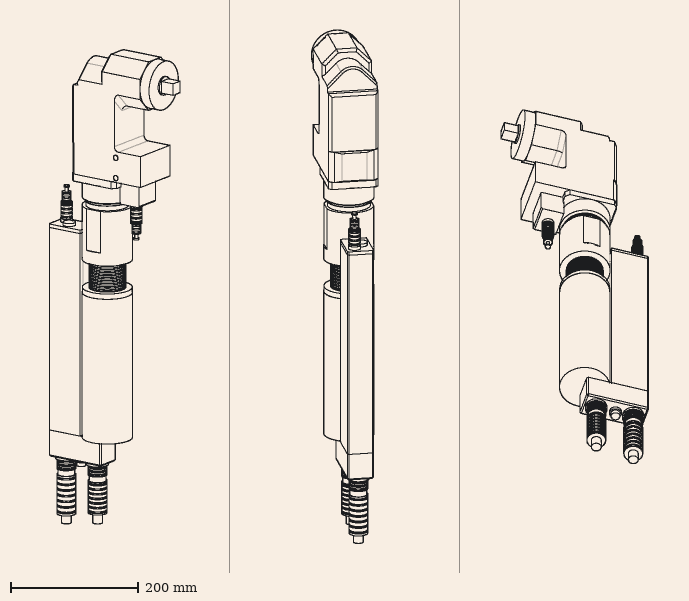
import cadquery as cq
import math


HEAD_WIDTH = 80.0
HALF_WIDTH = HEAD_WIDTH / 2
TOTAL_HEIGHT = 788.0
ARM_AXIS_Z = TOTAL_HEIGHT - HALF_WIDTH
ARM_BACK_X = 14.0
ARM_END_X = 92.0
FLANGE_DIAMETER = 79.0
FLANGE_LENGTH = 17.0
BOSS_DIAMETER = 30.0
BOSS_LENGTH = 2.0
DRIVE_SQUARE = 19.0
DRIVE_LENGTH = 23.0
EDGE_CHAMFER = 5.0

COLUMN_BACK_X = -42.0
COLUMN_FRONT_X = 42.5
SHOULDER_Z = 735.0
CROWN_BACK_X = -29.0
CROWN_RADIUS = 25.0
CROWN_EDGE = 3.0
ARM_FILLET = 8.0

FOOT_FRONT_X = 93.0
FOOT_TOP_Z = 638.5
FOOT_BOTTOM_Z = 588.0
SCREW_X = 45.0
SCREW_DIAMETER = 9.0
SCREW_DEPTH = 1.0
SCREW_HEIGHTS = (595.0, 628.0)

COVER_BACK_X = -46.0
COVER_KNEE_X = -43.0
COVER_SIDE_X = -35.5
COVER_FLAT_WIDTH = 40.0
COVER_KNEE_WIDTH = 63.0
COVER_EDGE = 2.0

BAND_FRONT_X = 42.5
BAND_FRONT_CHAMFER = 6.0
COLLAR_TOP_Z = 576.0
COLLAR_BOTTOM_Z = 548.0
BLOCK_BACK_X = 41.0
BLOCK_FRONT_X = 78.0
BLOCK_WIDTH = 44.0
BLOCK_EDGE = 2.0

TOOL_DIAMETER = 80.0
SWIVEL_DIAMETER = 68.0
SWIVEL_RING_DIAMETER = 71.0
SWIVEL_RING_Z = 542.0
SWIVEL_RING_HEIGHT = 3.0
SLEEVE_TOP_Z = 534.5
SLEEVE_BOTTOM_Z = 445.0
FLAT_DISTANCE = 75.0
FLAT_BOTTOM_Z = 467.0
NECK_DIAMETER = 58.0
NECK_GROOVE_DEPTH = 1.0
NECK_GROOVE_WIDTH = 2.0
NECK_GROOVES = 9
MOTOR_TOP_Z = 400.0
MOTOR_RIM_DIAMETER = 79.0
MOTOR_RIM_Z = 391.0
MOTOR_BOTTOM_Z = 154.0

BOX_BACK_X = -99.0
BOX_FRONT_X = -38.0
BOX_WIDTH = 42.0
BOX_TOP_Z = 485.5
LID_TOP_Z = 491.0
BOX_EDGE = 2.0
BASE_FRONT_X = 2.0
BASE_BOTTOM_Z = 110.0
CAP_X = -69.0
CAP_Y = -6.0
CAP_DIAMETER = 20.0
CAP_HEIGHT = 5.0
STUD_X = -50.5
STUD_DIAMETER = 14.0
STUD_FLANGE_DIAMETER = 19.0
STUD_FLANGE_HEIGHT = 5.0
STUD_LENGTH = 12.0

POWER_CONNECTORS = ((-80.0, 15.0, 0.0), (-19.0, 27.0, 10.0))
POWER_FLANGE_DIAMETER = 34.0
POWER_FLANGE_HEIGHT = 5.0
POWER_DIAMETER = 30.0
POWER_NUT_LENGTH = 16.5
POWER_NUT_GROOVES = 3
POWER_WAIST_DIAMETER = 27.0
POWER_WAIST_LENGTH = 9.5
POWER_CABLE_DIAMETER = 16.0
POWER_GROOVES = 7
POWER_GROOVE_DEPTH = 1.5
POWER_GROOVE_WIDTH = 2.0

SIGNAL_X = -84.0
SIGNAL_Y = 7.0
SIGNAL_FLANGE_DIAMETER = 19.0
SIGNAL_FLANGE_HEIGHT = 5.5
SIGNAL_DIAMETER = 18.0
SIGNAL_GRIP_LENGTH = 32.0
SIGNAL_GROOVES = 4
SIGNAL_GROOVE_DEPTH = 1.5
SIGNAL_GROOVE_WIDTH = 2.0
SIGNAL_TAIL_DIAMETER = 14.0
SIGNAL_TAIL_END = 49.0
SIGNAL_TAIL_GROOVES = 3
SIGNAL_TAIL_GROOVE_DEPTH = 1.0
SIGNAL_CABLE_DIAMETER = 5.5
SIGNAL_CABLE_END = 57.0
SIGNAL_TIP_DIAMETER = 9.0
SIGNAL_LENGTH = 59.0
TRANSDUCER_PLUG_X = 59.0
TRANSDUCER_PLUG_Y = -4.0


def block(x_range, width, z_range):
    """Box centred on Y = 0 between two X and two Z values."""
    (x0, x1), (z0, z1) = x_range, z_range
    slab = cq.Workplane("XY").box(x1 - x0, width, z1 - z0, centered=(False, True, False))
    return slab.translate((x0, 0, z0))


def rod(diameter, z0, z1, x=0, y=0):
    """Vertical cylinder between two heights."""
    return cq.Workplane("XY", origin=(x, y, z0)).circle(diameter / 2).extrude(z1 - z0)


def arm_rod(diameter, x0, length):
    """Cylinder along the axis of the output arm."""
    return cq.Workplane("YZ", origin=(x0, 0, ARM_AXIS_Z)).circle(diameter / 2).extrude(length)


def ring_groove(diameter, depth, z_middle, width):
    """Ring to cut a groove into a vertical cylinder on the Z axis."""
    ring = cq.Workplane("XY", origin=(0, 0, z_middle - width / 2))
    return ring.circle(diameter / 2 + depth).circle(diameter / 2 - depth).extrude(width)


def cut_grooves(body, diameter, depth, width, z0, z1, count):
    """Cut evenly spaced ring grooves between two heights."""
    pitch = (z1 - z0) / count
    for index in range(count):
        body = body.cut(ring_groove(diameter, depth, z0 + (index + 0.5) * pitch, width))
    return body


def make_arm():
    """Octagonal output arm."""
    circumscribed = HEAD_WIDTH / math.cos(math.pi / 8)
    section = cq.Workplane("YZ", origin=(ARM_BACK_X, 0, ARM_AXIS_Z))
    octagon = section.transformed(rotate=(0, 0, 180 / 8)).polygon(8, circumscribed)
    return octagon.extrude(ARM_END_X - ARM_BACK_X).faces("<X").chamfer(EDGE_CHAMFER)


def make_crown():
    """Round-topped ridge with 45 degree sides behind the arm."""
    tangent = CROWN_RADIUS / math.sqrt(2)
    eaves = CROWN_RADIUS * math.sqrt(2) - HALF_WIDTH
    section = cq.Workplane("YZ", origin=(CROWN_BACK_X, 0, ARM_AXIS_Z))
    outline = (
        section.moveTo(-HALF_WIDTH, FOOT_TOP_Z - ARM_AXIS_Z)
        .lineTo(-HALF_WIDTH, eaves)
        .lineTo(-tangent, tangent)
        .threePointArc((0, CROWN_RADIUS), (tangent, tangent))
        .lineTo(HALF_WIDTH, eaves)
        .lineTo(HALF_WIDTH, FOOT_TOP_Z - ARM_AXIS_Z)
        .close()
    )
    ridge = outline.extrude(COLUMN_FRONT_X - CROWN_BACK_X)
    return ridge.faces("<X").edges("not(|Y or |Z)").chamfer(CROWN_EDGE)


def make_cover():
    """Faceted cover on the back of the column."""
    outline = [
        (0, HALF_WIDTH),
        (COVER_SIDE_X, HALF_WIDTH),
        (COVER_KNEE_X, COVER_KNEE_WIDTH / 2),
        (COVER_BACK_X, COVER_FLAT_WIDTH / 2),
        (COVER_BACK_X, -COVER_FLAT_WIDTH / 2),
        (COVER_KNEE_X, -COVER_KNEE_WIDTH / 2),
        (COVER_SIDE_X, -HALF_WIDTH),
        (0, -HALF_WIDTH),
    ]
    cover = cq.Workplane("XY", origin=(0, 0, FOOT_BOTTOM_Z)).polyline(outline).close()
    return cover.extrude(FOOT_TOP_Z - FOOT_BOTTOM_Z).faces("<X").edges("|Y").chamfer(COVER_EDGE)


def make_head():
    """Angle head with its output flange and square drive."""
    column = block((COLUMN_BACK_X, COLUMN_FRONT_X), HEAD_WIDTH, (FOOT_TOP_Z, SHOULDER_Z))
    column = column.faces("<X").edges("not(<Z)").chamfer(EDGE_CHAMFER)
    foot = block((COVER_SIDE_X, FOOT_FRONT_X), HEAD_WIDTH, (FOOT_BOTTOM_Z, FOOT_TOP_Z))
    head = column.union(foot).union(make_crown()).union(make_arm())

    margin = EDGE_CHAMFER / 4
    low = (COLUMN_FRONT_X - margin, -HEAD_WIDTH, FOOT_TOP_Z - margin)
    high = (COLUMN_FRONT_X + margin, HEAD_WIDTH, ARM_AXIS_Z - HALF_WIDTH / 4)
    head = head.edges(cq.selectors.BoxSelector(low, high)).edges("not(|Z)").fillet(ARM_FILLET)
    head = head.union(make_cover())

    flange_end = ARM_END_X + FLANGE_LENGTH
    boss_end = flange_end + BOSS_LENGTH
    head = head.union(arm_rod(FLANGE_DIAMETER, ARM_END_X, FLANGE_LENGTH))
    head = head.union(arm_rod(BOSS_DIAMETER, flange_end, BOSS_LENGTH))
    drive = cq.Workplane("YZ", origin=(boss_end, 0, ARM_AXIS_Z)).rect(DRIVE_SQUARE, DRIVE_SQUARE)
    head = head.union(drive.extrude(DRIVE_LENGTH))

    for z in SCREW_HEIGHTS:
        screw = cq.Workplane("XZ", origin=(SCREW_X, -HALF_WIDTH, z)).circle(SCREW_DIAMETER / 2)
        head = head.cut(screw.extrude(-SCREW_DEPTH))
    return head


def make_sleeve():
    """Gear sleeve with two wrench flats and the swivel neck above it."""
    sleeve = rod(TOOL_DIAMETER, SLEEVE_BOTTOM_Z, SLEEVE_TOP_Z)
    flats = block((-TOOL_DIAMETER, TOOL_DIAMETER), 2 * TOOL_DIAMETER, (FLAT_BOTTOM_Z, SLEEVE_TOP_Z))
    flats = flats.cut(block((-TOOL_DIAMETER, TOOL_DIAMETER), FLAT_DISTANCE, (FLAT_BOTTOM_Z, SLEEVE_TOP_Z)))
    swivel = rod(SWIVEL_DIAMETER, SLEEVE_TOP_Z, COLLAR_BOTTOM_Z)
    ring = rod(SWIVEL_RING_DIAMETER, SWIVEL_RING_Z, SWIVEL_RING_Z + SWIVEL_RING_HEIGHT)
    return sleeve.cut(flats).union(swivel).union(ring)


def make_tool():
    """Sleeve, ribbed neck and motor on the tool axis."""
    neck = rod(NECK_DIAMETER, MOTOR_TOP_Z, SLEEVE_BOTTOM_Z)
    neck = cut_grooves(
        neck, NECK_DIAMETER, NECK_GROOVE_DEPTH, NECK_GROOVE_WIDTH, MOTOR_TOP_Z, SLEEVE_BOTTOM_Z, NECK_GROOVES
    )
    motor = rod(TOOL_DIAMETER, MOTOR_BOTTOM_Z, MOTOR_RIM_Z)
    rim = rod(MOTOR_RIM_DIAMETER, MOTOR_RIM_Z, MOTOR_TOP_Z)
    return make_sleeve().union(neck).union(rim).union(motor)


def make_power_connector(x, grip_end_z, cable_end_z):
    """Round connector with a ribbed nut and grip, hanging under the base."""
    flange_z = BASE_BOTTOM_Z - POWER_FLANGE_HEIGHT
    nut_z = flange_z - POWER_NUT_LENGTH
    grip_z = nut_z - POWER_WAIST_LENGTH
    grip = rod(POWER_DIAMETER, grip_end_z, grip_z)
    grip = cut_grooves(
        grip, POWER_DIAMETER, POWER_GROOVE_DEPTH, POWER_GROOVE_WIDTH, grip_end_z, grip_z, POWER_GROOVES
    )
    nut = rod(POWER_DIAMETER, nut_z, flange_z)
    nut = cut_grooves(
        nut, POWER_DIAMETER, POWER_GROOVE_DEPTH, POWER_GROOVE_WIDTH, nut_z, flange_z, POWER_NUT_GROOVES
    )
    connector = (
        grip.union(nut)
        .union(rod(POWER_FLANGE_DIAMETER, flange_z, BASE_BOTTOM_Z))
        .union(rod(POWER_WAIST_DIAMETER, grip_z, nut_z))
        .union(rod(POWER_CABLE_DIAMETER, cable_end_z, grip_end_z))
    )
    return connector.translate((x, 0, 0))


def make_signal_connector():
    """Small connector standing upward from Z = 0."""
    grip = rod(SIGNAL_DIAMETER, SIGNAL_FLANGE_HEIGHT, SIGNAL_GRIP_LENGTH)
    grip = cut_grooves(
        grip, SIGNAL_DIAMETER, SIGNAL_GROOVE_DEPTH, SIGNAL_GROOVE_WIDTH,
        SIGNAL_FLANGE_HEIGHT, SIGNAL_GRIP_LENGTH, SIGNAL_GROOVES,
    )
    tail = rod(SIGNAL_TAIL_DIAMETER, SIGNAL_GRIP_LENGTH, SIGNAL_TAIL_END)
    tail = cut_grooves(
        tail, SIGNAL_TAIL_DIAMETER, SIGNAL_TAIL_GROOVE_DEPTH, SIGNAL_GROOVE_WIDTH,
        SIGNAL_GRIP_LENGTH, SIGNAL_TAIL_END, SIGNAL_TAIL_GROOVES,
    )
    return (
        grip.union(tail)
        .union(rod(SIGNAL_FLANGE_DIAMETER, 0, SIGNAL_FLANGE_HEIGHT))
        .union(rod(SIGNAL_CABLE_DIAMETER, SIGNAL_TAIL_END, SIGNAL_CABLE_END))
        .union(rod(SIGNAL_TIP_DIAMETER, SIGNAL_CABLE_END, SIGNAL_LENGTH))
    )


def make_transducer():
    """Collar under the head, with a side block and its signal connector."""
    band = block((COLUMN_BACK_X, BAND_FRONT_X), HEAD_WIDTH, (COLLAR_TOP_Z, FOOT_BOTTOM_Z))
    band = band.edges("|Z and <X").chamfer(EDGE_CHAMFER)
    band = band.edges("|Z and >X").chamfer(BAND_FRONT_CHAMFER)
    collar = rod(HEAD_WIDTH, COLLAR_BOTTOM_Z, COLLAR_TOP_Z)
    side = block((BLOCK_BACK_X, BLOCK_FRONT_X), BLOCK_WIDTH, (COLLAR_BOTTOM_Z, FOOT_BOTTOM_Z))
    side = side.faces(">X").edges("<Z").chamfer(BLOCK_EDGE)
    plug = make_signal_connector().rotate((0, 0, 0), (1, 0, 0), 180)
    plug = plug.translate((TRANSDUCER_PLUG_X, TRANSDUCER_PLUG_Y, COLLAR_BOTTOM_Z))
    return band.union(collar).union(side).union(plug)


def make_box_section(z0, z1):
    """Length of the box profile, hollowed at the front to seat against the tool."""
    section = block((BOX_BACK_X, BOX_FRONT_X), BOX_WIDTH, (z0, z1))
    return section.edges("|Z and <X").chamfer(BOX_EDGE).cut(rod(TOOL_DIAMETER, z0, z1))


def make_lid():
    """Box lid with a signal connector and a round cap."""
    plug = make_signal_connector().translate((SIGNAL_X, SIGNAL_Y, LID_TOP_Z))
    cap = rod(CAP_DIAMETER, LID_TOP_Z, LID_TOP_Z + CAP_HEIGHT, CAP_X, CAP_Y)
    return make_box_section(BOX_TOP_Z, LID_TOP_Z).union(plug).union(cap)


def make_base():
    """Base under the box and motor, with a stud and the power connectors."""
    base = block((BOX_BACK_X, BASE_FRONT_X), BOX_WIDTH, (BASE_BOTTOM_Z, MOTOR_BOTTOM_Z))
    base = base.edges("|Z or <Z").chamfer(BOX_EDGE)
    base = base.union(rod(STUD_DIAMETER, BASE_BOTTOM_Z - STUD_LENGTH, BASE_BOTTOM_Z, STUD_X))
    base = base.union(
        rod(STUD_FLANGE_DIAMETER, BASE_BOTTOM_Z - STUD_FLANGE_HEIGHT, BASE_BOTTOM_Z, STUD_X)
    )
    for place in POWER_CONNECTORS:
        base = base.union(make_power_connector(*place))
    return base


head = make_head()
transducer = make_transducer()
tool = make_tool()
box = make_box_section(MOTOR_BOTTOM_Z, BOX_TOP_Z)
lid = make_lid()
base = make_base()

bodies = (head, transducer, tool, box, lid, base)
result = cq.Compound.makeCompound([body.solids().val() for body in bodies])